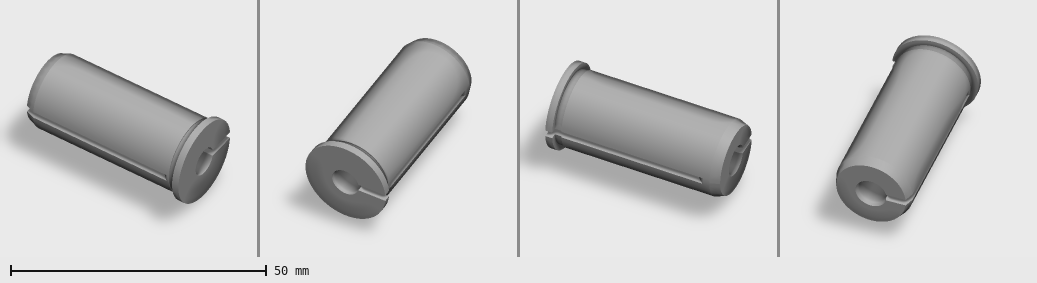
import cadquery as cq
import math

length = 37.0
body_diameter = 16.0
bore_diameter = 6.0

flange_diameter = 18.0
flange_thickness = 1.5
neck_diameter = 15.5
neck_width = 1.5

nose_length = 2.0
nose_angle = 20.0
bore_chamfer_length = 0.5
bore_chamfer_depth = 0.25

slot_width = 1.5
slot_length = 33.5
slot_length_at_bore = 27.5
slot_end_radius = 31.5

body_radius = body_diameter / 2
bore_radius = bore_diameter / 2
flange_radius = flange_diameter / 2
neck_radius = neck_diameter / 2


def make_sleeve():
    """Revolve the half section of the bored, flanged sleeve about X."""
    nose_radius = body_radius - nose_length * math.tan(math.radians(nose_angle))
    flange_start = length - flange_thickness
    neck_start = flange_start - neck_width
    half_section = (
        cq.Workplane("XY")
        .moveTo(0, bore_radius + bore_chamfer_depth)
        .lineTo(0, nose_radius)
        .lineTo(nose_length, body_radius)
        .lineTo(neck_start, body_radius)
        .lineTo(neck_start, neck_radius)
        .lineTo(flange_start, neck_radius)
        .lineTo(flange_start, flange_radius)
        .lineTo(length, flange_radius)
        .lineTo(length, bore_radius)
        .lineTo(bore_chamfer_length, bore_radius)
        .close()
    )
    return half_section.revolve(360, (0, 0, 0), (1, 0, 0))


def make_slot_cutter():
    """Slot open at the nose on the -Y side, ending in the arc of a disc saw."""
    rise = body_radius - bore_radius
    run = slot_length - slot_length_at_bore
    chord = math.hypot(run, rise)
    center_distance = math.sqrt(slot_end_radius**2 - (chord / 2) ** 2)
    saw_x = (slot_length + slot_length_at_bore) / 2 - center_distance * rise / chord
    saw_y = -(body_radius + bore_radius) / 2 - center_distance * run / chord
    slot_bottom = saw_y + slot_end_radius
    saw_disc = (
        cq.Workplane("XY")
        .center(saw_x, saw_y)
        .circle(slot_end_radius)
        .extrude(slot_width / 2, both=True)
    )
    saw_path = (
        cq.Workplane("XY")
        .moveTo(0, saw_y)
        .lineTo(saw_x, saw_y)
        .lineTo(saw_x, slot_bottom)
        .lineTo(0, slot_bottom)
        .close()
        .extrude(slot_width / 2, both=True)
    )
    return saw_path.union(saw_disc)


nose_slot = make_slot_cutter()
flange_slot = nose_slot.rotate((0, 0, 0), (0, 0, 1), 180).translate((length, 0, 0))

result = make_sleeve().cut(nose_slot).cut(flange_slot)